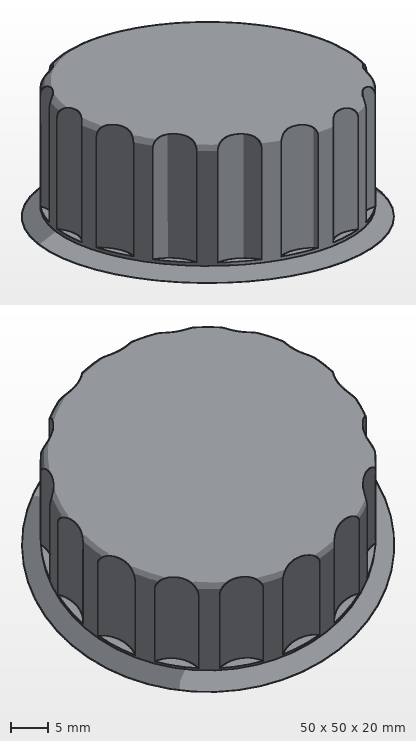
import cadquery as cq
import math

flange_diameter = 50.0
body_diameter = 45.0
height = 20.0
flange_height = 1.5
top_fillet = 2.0

flute_count = 16
flute_width = 6.0
flute_depth = 1.25
flute_bottom = 2.0

body_radius = body_diameter / 2


def make_blank():
    """Solid knob with a conical flange and a rounded top edge."""
    flange_radius = flange_diameter / 2
    return (
        cq.Workplane("XZ")
        .lineTo(flange_radius, 0)
        .lineTo(body_radius, flange_height)
        .lineTo(body_radius, height)
        .lineTo(0, height)
        .close()
        .revolve(360, (0, 0), (0, 1))
        .faces(">Z")
        .edges()
        .fillet(top_fillet)
    )


def make_flute_cutters():
    """Ring of upright cylinders that leave flutes of the given width and depth."""
    half_width = flute_width / 2
    edge_distance = math.sqrt(body_radius**2 - half_width**2)
    floor_distance = body_radius - flute_depth
    sagitta = edge_distance - floor_distance
    flute_radius = (half_width**2 + sagitta**2) / (2 * sagitta)
    return (
        cq.Workplane("XY")
        .workplane(offset=flute_bottom)
        .polarArray(floor_distance + flute_radius, 0, 360, flute_count)
        .circle(flute_radius)
        .extrude(height - flute_bottom)
    )


result = make_blank().cut(make_flute_cutters())